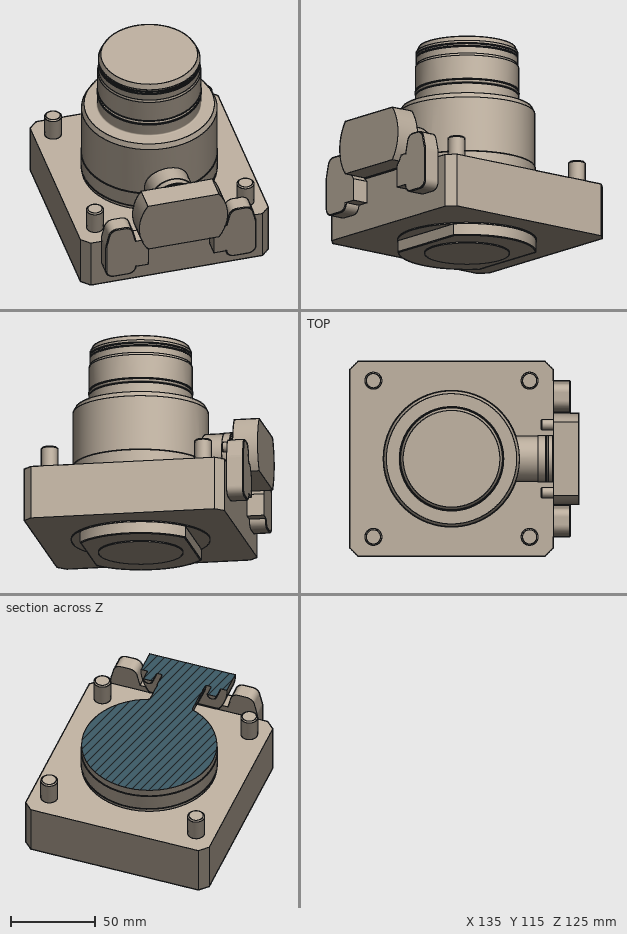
import cadquery as cq
import math

PLATE_X = 120.0
PLATE_Y = 115.0
PLATE_HEIGHT = 31.5
PLATE_CORNER = 5.0

PIN_DIAMETER = 10.0
PIN_HEIGHT = 14.0
PIN_OFFSET = 46.0
PIN_CHAMFER = 0.8

FLANGE_DIAMETER = 81.3
FLANGE_ACROSS_FLATS = 63.0
FLANGE_STEP_DIAMETER = 82.0
FLANGE_STEP_HEIGHT = 0.7
FLANGE_HEIGHT = 7.8
FLANGE_CHAMFER = 0.5
PAD_DIAMETER = 50.0
PAD_HEIGHT = 0.7

BODY_FOOT_RADIUS = 80.0 / 2
BODY_FOOT_NECK_RADIUS = 79.5 / 2
BODY_LOWER_RADIUS = 80.5 / 2
BODY_UPPER_RADIUS = 80.0 / 2
BODY_FOOT_HEIGHT = 1.9
BODY_STEP_Z = 12.0
BODY_STEP_BEVEL = 0.4
BODY_TOP = 48.0
BODY_CHAMFER_WIDTH = 1.6
BODY_CHAMFER_HEIGHT = 3.0

STEM_TOP = 85.0
STEM_RADIUS = 61.0 / 2
STEM_FOOT_FILLET = 0.8
STEM_NECK_RADIUS = 60.0 / 2
STEM_NECK_LENGTH = 10.7
STEM_NECK_TAPER = 1.4
STEM_TIP_RADIUS = 57.0 / 2
STEM_TIP_CHAMFER = 3.0

SEAL_Z = 57.4
SEAL_GROOVE_WIDTH = 2.9
SEAL_GROOVE_RADIUS = 60.0 / 2
SEAL_RADIUS = 61.6 / 2
SEAL_WIDTH = 1.7

TIP_GROOVE_TOP = STEM_TOP - 4.3
TIP_GROOVE_WIDTH = 0.6
TIP_GROOVE_PITCH = 1.7
TIP_GROOVE_COUNT = 2
TIP_GROOVE_RADIUS = 58.0 / 2

PORT_Z = 16.5
PORT_DIAMETER = 26.8
SLEEVE_DIAMETER = 27.4
SLEEVE_START_X = 51.0
PORT_RING_DIAMETER = 27.6
PORT_RING_X = 56.25
PORT_RING_WIDTH = 0.9
PORT_RING_GROOVE_WIDTH = 1.7
PORT_COLLAR_WIDTH = 0.5

BLOCK_START_X = PLATE_X / 2
BLOCK_THICKNESS = 15.0
BLOCK_DIAMETER = 54.0
BLOCK_HEIGHT = 32.0

GUIDE_DIAMETER = 6.0
GUIDE_LENGTH = 7.2
GUIDE_OFFSET = 20.0
GUIDE_CHAMFER = 0.5

LATCH_THICKNESS = 10.0
LATCH_OFFSET = 36.7
LATCH_HALF_WIDTH = 9.3
LATCH_TOP_HALF_WIDTH = 2.5
LATCH_TOP = 15.0
LATCH_BOTTOM = -20.0
LATCH_RADIUS = 5.0
LATCH_TAPER = math.radians(14.0)
LATCH_TAPER_END_Z = 3.8
LATCH_SIDE_TOP_Z = 2.4
LATCH_CHAMFER = 0.5
HEEL_INNER_Y = 20.0
HEEL_TOP = LATCH_TAPER_END_Z
HEEL_BOTTOM = LATCH_BOTTOM + LATCH_RADIUS
HEEL_CLEARANCE = 0.2


def rod_along_x(start_x, end_x, diameter, y=0.0):
    """Cylinder along X at the port height."""
    plane = cq.Workplane("YZ", origin=(start_x, y, PORT_Z))
    return plane.circle(diameter / 2).extrude(end_x - start_x)


def make_plate():
    plate = cq.Workplane("XY").box(PLATE_X, PLATE_Y, PLATE_HEIGHT, centered=(True, True, False))
    plate = plate.translate((0, 0, -PLATE_HEIGHT))
    return plate.edges("|Z").chamfer(PLATE_CORNER)


def make_pins():
    pins = cq.Workplane("XY").rect(2 * PIN_OFFSET, 2 * PIN_OFFSET, forConstruction=True).vertices()
    pins = pins.circle(PIN_DIAMETER / 2).extrude(PIN_HEIGHT)
    return pins.faces(">Z").edges().chamfer(PIN_CHAMFER)


def make_flange():
    """Round step, a flange with flats facing +X and -X, and a round pad, all below the plate."""
    below_plate = cq.Workplane("XY", origin=(0, 0, -PLATE_HEIGHT))
    step = below_plate.circle(FLANGE_STEP_DIAMETER / 2).extrude(-FLANGE_STEP_HEIGHT)
    flats = below_plate.rect(FLANGE_ACROSS_FLATS, FLANGE_DIAMETER).extrude(-FLANGE_HEIGHT)
    flange = below_plate.circle(FLANGE_DIAMETER / 2).extrude(-FLANGE_HEIGHT).intersect(flats)
    flange = flange.faces("<Z").edges().chamfer(FLANGE_CHAMFER)
    pad = below_plate.circle(PAD_DIAMETER / 2).extrude(-FLANGE_HEIGHT - PAD_HEIGHT)
    return step.union(flange).union(pad)


def make_body():
    """Turned body and stem, revolved from half of their section in XZ."""
    neck_bottom = STEM_TOP - STEM_NECK_LENGTH
    section = (
        cq.Workplane("XZ")
        .lineTo(BODY_FOOT_RADIUS, 0)
        .lineTo(BODY_FOOT_NECK_RADIUS, BODY_FOOT_HEIGHT)
        .lineTo(BODY_LOWER_RADIUS, BODY_FOOT_HEIGHT)
        .lineTo(BODY_LOWER_RADIUS, BODY_STEP_Z)
        .lineTo(BODY_UPPER_RADIUS, BODY_STEP_Z + BODY_STEP_BEVEL)
        .lineTo(BODY_UPPER_RADIUS, BODY_TOP - BODY_CHAMFER_HEIGHT)
        .lineTo(BODY_UPPER_RADIUS - BODY_CHAMFER_WIDTH, BODY_TOP)
        .lineTo(STEM_RADIUS + STEM_FOOT_FILLET, BODY_TOP)
        .radiusArc((STEM_RADIUS, BODY_TOP + STEM_FOOT_FILLET), STEM_FOOT_FILLET)
        .lineTo(STEM_RADIUS, SEAL_Z - SEAL_GROOVE_WIDTH / 2)
        .lineTo(SEAL_GROOVE_RADIUS, SEAL_Z - SEAL_GROOVE_WIDTH / 2)
        .lineTo(SEAL_GROOVE_RADIUS, SEAL_Z - SEAL_WIDTH / 2)
        .threePointArc((SEAL_RADIUS, SEAL_Z), (SEAL_GROOVE_RADIUS, SEAL_Z + SEAL_WIDTH / 2))
        .lineTo(SEAL_GROOVE_RADIUS, SEAL_Z + SEAL_GROOVE_WIDTH / 2)
        .lineTo(STEM_RADIUS, SEAL_Z + SEAL_GROOVE_WIDTH / 2)
        .lineTo(STEM_RADIUS, neck_bottom - STEM_NECK_TAPER)
        .lineTo(STEM_NECK_RADIUS, neck_bottom)
        .lineTo(STEM_NECK_RADIUS, STEM_TOP - STEM_TIP_CHAMFER)
        .lineTo(STEM_TIP_RADIUS, STEM_TOP)
        .lineTo(0, STEM_TOP)
        .close()
    )
    body = section.revolve(360, (0, 0, 0), (0, 1, 0))
    for index in range(TIP_GROOVE_COUNT):
        groove = cq.Workplane("XY", origin=(0, 0, TIP_GROOVE_TOP - index * TIP_GROOVE_PITCH))
        groove = groove.circle(STEM_RADIUS).circle(TIP_GROOVE_RADIUS).extrude(-TIP_GROOVE_WIDTH)
        body = body.cut(groove)
    return body


def make_port():
    """Side port with a grooved sleeve, a seal ring and an end collar."""
    groove_start = PORT_RING_X - PORT_RING_GROOVE_WIDTH / 2
    groove_end = PORT_RING_X + PORT_RING_GROOVE_WIDTH / 2
    ring_start = PORT_RING_X - PORT_RING_WIDTH / 2
    ring_end = PORT_RING_X + PORT_RING_WIDTH / 2
    collar_start = BLOCK_START_X - PORT_COLLAR_WIDTH
    port = rod_along_x(0, BLOCK_START_X, PORT_DIAMETER)
    port = port.union(rod_along_x(SLEEVE_START_X, groove_start, SLEEVE_DIAMETER))
    port = port.union(rod_along_x(ring_start, ring_end, PORT_RING_DIAMETER))
    port = port.union(rod_along_x(groove_end, collar_start, SLEEVE_DIAMETER))
    return port.union(rod_along_x(collar_start, BLOCK_START_X, PORT_RING_DIAMETER))


def make_block():
    """Disc across the port axis, cut flat above and below."""
    block_end_x = BLOCK_START_X + BLOCK_THICKNESS
    flats = cq.Workplane("YZ", origin=(BLOCK_START_X, 0, PORT_Z))
    flats = flats.rect(BLOCK_DIAMETER, BLOCK_HEIGHT).extrude(BLOCK_THICKNESS)
    return rod_along_x(BLOCK_START_X, block_end_x, BLOCK_DIAMETER).intersect(flats)


def make_guide_pin(y):
    pin = rod_along_x(BLOCK_START_X - GUIDE_LENGTH, BLOCK_START_X, GUIDE_DIAMETER, y)
    return pin.faces("<X").edges().chamfer(GUIDE_CHAMFER)


def make_latch(y):
    """Latch plate, symmetric about its middle, with rounded and tapered shoulders."""
    arc_centre_z = LATCH_TOP - LATCH_RADIUS
    arc_mid_angle = (math.pi / 2 + LATCH_TAPER) / 2
    arc_mid_y = LATCH_TOP_HALF_WIDTH + LATCH_RADIUS * math.cos(arc_mid_angle)
    arc_mid_z = arc_centre_z + LATCH_RADIUS * math.sin(arc_mid_angle)
    taper_start_y = LATCH_TOP_HALF_WIDTH + LATCH_RADIUS * math.cos(LATCH_TAPER)
    taper_start_z = arc_centre_z + LATCH_RADIUS * math.sin(LATCH_TAPER)
    taper_end_y = taper_start_y + (taper_start_z - LATCH_TAPER_END_Z) * math.tan(LATCH_TAPER)
    latch = (
        cq.Workplane("YZ", origin=(BLOCK_START_X, y, 0))
        .moveTo(-LATCH_HALF_WIDTH, LATCH_BOTTOM)
        .lineTo(LATCH_HALF_WIDTH, LATCH_BOTTOM)
        .lineTo(LATCH_HALF_WIDTH, LATCH_SIDE_TOP_Z)
        .lineTo(taper_end_y, LATCH_TAPER_END_Z)
        .lineTo(taper_start_y, taper_start_z)
        .threePointArc((arc_mid_y, arc_mid_z), (LATCH_TOP_HALF_WIDTH, LATCH_TOP))
        .lineTo(-LATCH_TOP_HALF_WIDTH, LATCH_TOP)
        .threePointArc((-arc_mid_y, arc_mid_z), (-taper_start_y, taper_start_z))
        .lineTo(-taper_end_y, LATCH_TAPER_END_Z)
        .lineTo(-LATCH_HALF_WIDTH, LATCH_SIDE_TOP_Z)
        .close()
        .extrude(LATCH_THICKNESS)
    )
    latch = latch.edges("|X and <Z").fillet(LATCH_RADIUS)
    return latch.faces(">X").edges().chamfer(LATCH_CHAMFER)


def make_heel(side):
    """Inward extension of a latch, hollowed to follow the block with a small clearance."""
    width = LATCH_OFFSET - HEEL_INNER_Y
    centre_y = side * (LATCH_OFFSET + HEEL_INNER_Y) / 2
    centre_z = (HEEL_TOP + HEEL_BOTTOM) / 2
    heel = cq.Workplane("YZ", origin=(BLOCK_START_X, centre_y, centre_z))
    heel = heel.rect(width, HEEL_TOP - HEEL_BOTTOM).extrude(LATCH_THICKNESS)
    heel_end_x = BLOCK_START_X + LATCH_THICKNESS
    return heel.cut(rod_along_x(BLOCK_START_X, heel_end_x, BLOCK_DIAMETER + 2 * HEEL_CLEARANCE))


result = make_plate().union(make_pins()).union(make_flange())
result = result.union(make_body()).union(make_port()).union(make_block())
for side in (-1, 1):
    result = result.union(make_guide_pin(side * GUIDE_OFFSET))
    result = result.union(make_latch(side * LATCH_OFFSET))
    result = result.union(make_heel(side))